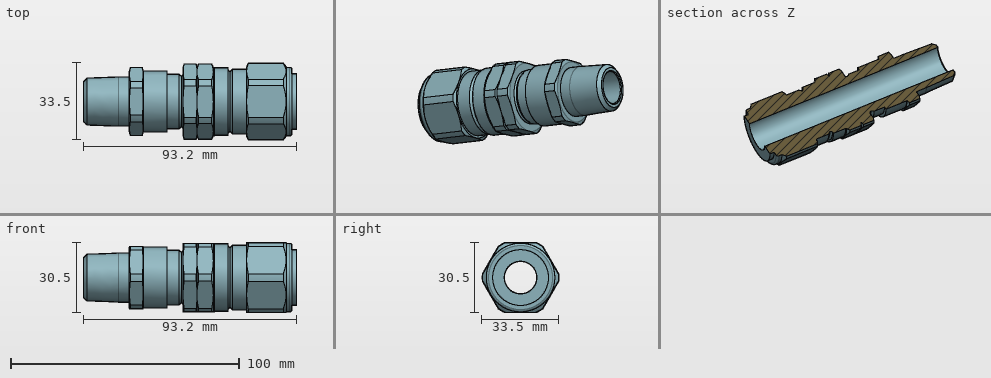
import cadquery as cq


NOSE_CHAMFER_END = 1.55
TAPER_END = 15.25
FRONT_HEX_START = 20.0
BODY_START = 26.2
NECK_START = 36.6
NECK_CHAMFER_START = 41.7
NECK_GROOVE = 42.8
MIDDLE_HEX_START = 43.55
MIDDLE_HEX_END = 49.6
SLEEVE_START = 57.2
SLEEVE_END = 63.2
SLEEVE_GROOVE = 64.05
CAP_NECK_START = 65.2
CAP_HEX_START = 71.3
CAP_COLLAR_START = 88.8
CAP_COLLAR_END = 91.15
TOTAL_LENGTH = 93.2

BORE_RADIUS = 7.05
BORE_CHAMFER = 0.4
NOSE_RADIUS = 8.75
TAPER_START_RADIUS = 10.3
TAPER_END_RADIUS = 10.8
BODY_RADIUS = 13.4
NECK_RADIUS = 12.0
NECK_GROOVE_RADIUS = 11.1
NECK_FLARE_RADIUS = 11.7
SLEEVE_RADIUS = 14.8
SLEEVE_STEP_RADIUS = 13.9
SLEEVE_GROOVE_RADIUS = 13.05
CAP_NECK_RADIUS = 14.2
CAP_COLLAR_RADIUS = 15.0
CAP_COLLAR_ROUNDING = 1.0
SEAL_RADIUS = 12.2

FRONT_HEX_FLATS = 27.3
FRONT_HEX_CORNERS = 29.8
MIDDLE_HEX_FLATS = 30.0
MIDDLE_HEX_CORNERS = 33.0
CAP_HEX_FLATS = 30.54
CAP_HEX_CORNERS = 33.54

HEX_TURN = 30

FRONT_HEX_CHAMFER = (0.5, 13.2)
MIDDLE_HEX_START_CHAMFER = (0.45, 15.0)
MIDDLE_HEX_END_CHAMFER = (0.3, 15.1)
LOCK_HEX_START_CHAMFER = (0.7, 15.0)
LOCK_HEX_END_CHAMFER = (0.7, MIDDLE_HEX_FLATS / 2)
LOCK_HEX_WASHER_LENGTH = 0.45
CAP_HEX_START_CHAMFER = (0.75, 15.2)
CAP_HEX_END_CHAMFER = (1.45, CAP_COLLAR_RADIUS)


def revolve_profile(points):
    """Revolve (x, radius) points about the X axis, closing the profile on the axis."""
    first_x = points[0][0]
    last_x = points[-1][0]
    outline = [(first_x, 0)] + points + [(last_x, 0)]
    return cq.Workplane("XY").polyline(outline).close().revolve(360, (0, 0, 0), (1, 0, 0))


def hexagon(start, end, flats, corners, start_chamfer, end_chamfer):
    """Hexagon with two flats facing +Z and -Z, rounded corners and conical end chamfers."""
    prism = (
        cq.Workplane("YZ", origin=(start, 0, 0))
        .polygon(6, flats, circumscribed=True)
        .extrude(end - start)
        .rotate((0, 0, 0), (1, 0, 0), HEX_TURN)
    )
    start_length, start_radius = start_chamfer
    end_length, end_radius = end_chamfer
    corner_radius = corners / 2
    envelope = revolve_profile([
        (start, start_radius),
        (start + start_length, corner_radius),
        (end - end_length, corner_radius),
        (end, end_radius),
    ])
    return prism.intersect(envelope)


def turned_core():
    """All round sections of the fitting, without the hexagons and the cap collar."""
    return revolve_profile([
        (0, NOSE_RADIUS),
        (NOSE_CHAMFER_END, TAPER_START_RADIUS),
        (TAPER_END, TAPER_END_RADIUS),
        (BODY_START, TAPER_END_RADIUS),
        (BODY_START, BODY_RADIUS),
        (NECK_START, BODY_RADIUS),
        (NECK_START, NECK_RADIUS),
        (NECK_CHAMFER_START, NECK_RADIUS),
        (NECK_GROOVE, NECK_GROOVE_RADIUS),
        (MIDDLE_HEX_START, NECK_FLARE_RADIUS),
        (SLEEVE_START - LOCK_HEX_WASHER_LENGTH, NECK_FLARE_RADIUS),
        (SLEEVE_START - LOCK_HEX_WASHER_LENGTH, MIDDLE_HEX_FLATS / 2),
        (SLEEVE_START, MIDDLE_HEX_FLATS / 2),
        (SLEEVE_START, SLEEVE_RADIUS),
        (SLEEVE_END, SLEEVE_RADIUS),
        (SLEEVE_END, SLEEVE_STEP_RADIUS),
        (SLEEVE_GROOVE, SLEEVE_GROOVE_RADIUS),
        (CAP_NECK_START, CAP_NECK_RADIUS),
        (CAP_HEX_START, CAP_NECK_RADIUS),
        (CAP_HEX_START, SEAL_RADIUS),
        (TOTAL_LENGTH, SEAL_RADIUS),
    ])


def front_hexagon():
    return hexagon(
        FRONT_HEX_START, BODY_START, FRONT_HEX_FLATS, FRONT_HEX_CORNERS,
        FRONT_HEX_CHAMFER, FRONT_HEX_CHAMFER,
    )


def middle_hexagon():
    return hexagon(
        MIDDLE_HEX_START, MIDDLE_HEX_END, MIDDLE_HEX_FLATS, MIDDLE_HEX_CORNERS,
        MIDDLE_HEX_START_CHAMFER, MIDDLE_HEX_END_CHAMFER,
    )


def lock_hexagon():
    return hexagon(
        MIDDLE_HEX_END, SLEEVE_START - LOCK_HEX_WASHER_LENGTH, MIDDLE_HEX_FLATS, MIDDLE_HEX_CORNERS,
        LOCK_HEX_START_CHAMFER, LOCK_HEX_END_CHAMFER,
    )


def cap_hexagon():
    return hexagon(
        CAP_HEX_START, CAP_COLLAR_START, CAP_HEX_FLATS, CAP_HEX_CORNERS,
        CAP_HEX_START_CHAMFER, CAP_HEX_END_CHAMFER,
    )


def cap_collar():
    """Round collar behind the cap hexagon, with its rear edge rounded."""
    return (
        cq.Workplane("YZ", origin=(CAP_COLLAR_START, 0, 0))
        .circle(CAP_COLLAR_RADIUS)
        .extrude(CAP_COLLAR_END - CAP_COLLAR_START)
        .faces(">X").edges()
        .fillet(CAP_COLLAR_ROUNDING)
    )


def bore():
    """Through bore with a small chamfer at the tapered nose."""
    return revolve_profile([
        (0, BORE_RADIUS + BORE_CHAMFER),
        (BORE_CHAMFER, BORE_RADIUS),
        (TOTAL_LENGTH, BORE_RADIUS),
    ])


fitting = turned_core()
for section in (front_hexagon(), middle_hexagon(), lock_hexagon(), cap_hexagon(), cap_collar()):
    fitting = fitting.union(section)

result = fitting.cut(bore())